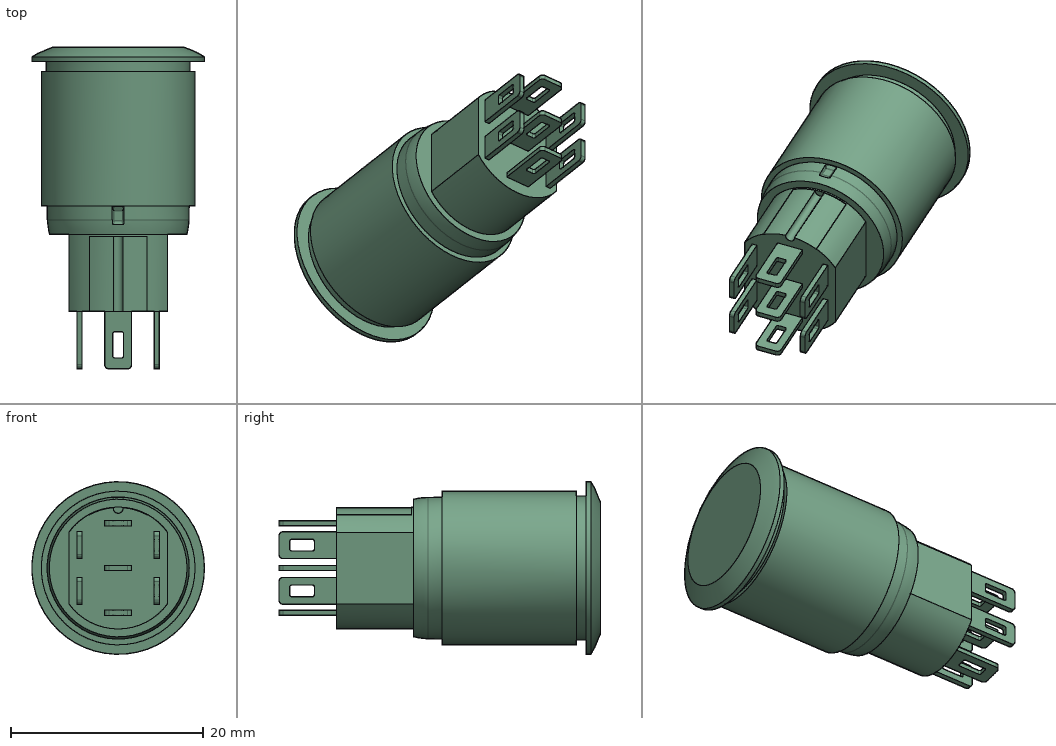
import cadquery as cq

total_length = 33.5

flange_diameter = 18.0
flange_edge = 0.5
cap_height = 1.5
cap_face_diameter = 13.67
cap_slope_bulge = 0.07
neck_diameter = 15.0
neck_length = 1.0
barrel_diameter = 16.0
barrel_end = -15.0
collar_diameter = 14.8
collar_middle_diameter = 14.77
collar_middle = -16.48
collar_end = -18.0
collar_end_diameter = 14.35
collar_bulge = 0.05

body_diameter = 12.7
body_width = 10.3
body_end = -26.0
insert_diameter = 12.6
insert_width = 6.0
insert_gap = 0.2
key_groove_radius = 0.5
key_groove_center = 6.2

pocket_mouth_width = 1.37
pocket_floor_width = 0.95
pocket_mouth_end = -17.25
pocket_floor_start = -15.5
pocket_floor_end = -16.58
pocket_floor_height = 7.2
pocket_mouth_height = 7.45
pocket_corner = 0.17
pocket_floor_round = 0.1

terminal_width = 2.8
terminal_thickness = 0.55
terminal_corner = 0.45
terminal_tip = cap_height - total_length
middle_spacing = 4.65
side_offset_x = 4.02
side_offset_z = 2.38
middle_slot_width = 1.1
middle_slot_length = 2.7
side_slot_width = 1.2
side_slot_length = 2.55
slot_corner = 0.2
slot_tip_margin = 1.15
embed = 0.35


def cylinder_along_y(diameter, start, end):
    """Cylinder on the part axis from y = start back to y = end."""
    return cq.Workplane("XZ", origin=(0, start, 0)).circle(diameter / 2).extrude(start - end)


def make_housing():
    """Cap, flange, neck, barrel and rounded collar turned about Y."""
    slope_middle = (
        (cap_face_diameter + flange_diameter) / 4 + cap_slope_bulge / 2,
        (cap_height + flange_edge) / 2 + cap_slope_bulge,
    )
    rounded_middle = (
        (collar_middle_diameter + collar_end_diameter) / 4 + collar_bulge,
        (collar_middle + collar_end) / 2,
    )
    return (
        cq.Workplane("XY")
        .moveTo(0, cap_height)
        .lineTo(cap_face_diameter / 2, cap_height)
        .threePointArc(slope_middle, (flange_diameter / 2, flange_edge))
        .lineTo(flange_diameter / 2, 0)
        .lineTo(neck_diameter / 2, 0)
        .lineTo(neck_diameter / 2, -neck_length)
        .lineTo(barrel_diameter / 2, -neck_length)
        .lineTo(barrel_diameter / 2, barrel_end)
        .lineTo(collar_diameter / 2, barrel_end)
        .lineTo(collar_middle_diameter / 2, collar_middle)
        .threePointArc(rounded_middle, (collar_end_diameter / 2, collar_end))
        .lineTo(0, collar_end)
        .close()
        .revolve(360, (0, 0, 0), (0, 1, 0))
    )


def make_collar_pocket():
    """Cutter for the pocket with sloped walls behind the barrel."""
    mouth_length = barrel_end - pocket_mouth_end
    floor_length = pocket_floor_start - pocket_floor_end
    mouth_middle = (barrel_end + pocket_mouth_end) / 2
    floor_middle = (pocket_floor_start + pocket_floor_end) / 2
    return (
        cq.Workplane("XY", origin=(0, floor_middle, pocket_floor_height))
        .rect(pocket_floor_width, floor_length)
        .workplane(offset=pocket_mouth_height - pocket_floor_height)
        .center(0, mouth_middle - floor_middle)
        .rect(pocket_mouth_width, mouth_length)
        .loft(ruled=True)
        .faces("<Y")
        .edges("not #Z")
        .fillet(pocket_corner)
        .faces("<Z")
        .edges()
        .fillet(pocket_floor_round)
    )


def make_body():
    """Round switch body with two flats; its keyed insert lies slightly below the round along the top."""
    start = collar_end + embed
    body = cylinder_along_y(body_diameter, start, body_end).intersect(
        cq.Workplane("XZ", origin=(0, start, 0))
        .rect(body_width, body_diameter)
        .extrude(start - body_end)
    )
    insert_start = collar_end - insert_gap
    insert_length = insert_start - body_end
    insert_relief = (
        cq.Workplane("XZ", origin=(0, insert_start, body_diameter / 2))
        .rect(insert_width, body_diameter)
        .extrude(insert_length)
        .cut(cylinder_along_y(insert_diameter, insert_start, body_end))
    )
    key_groove = (
        cq.Workplane("XZ", origin=(0, insert_start, key_groove_center))
        .circle(key_groove_radius)
        .extrude(insert_length)
    )
    return body.cut(insert_relief).cut(key_groove)


def make_terminal(slot_width, slot_length):
    """Flat terminal in the XY plane on the axis, with rounded tip corners and a slot."""
    start = body_end + embed
    slot_middle = terminal_tip + slot_tip_margin + slot_length / 2
    blade = (
        cq.Workplane("XY")
        .center(0, (start + terminal_tip) / 2)
        .box(terminal_width, start - terminal_tip, terminal_thickness)
        .edges("|Z and <Y")
        .fillet(terminal_corner)
    )
    slot = (
        cq.Workplane("XY")
        .center(0, slot_middle)
        .box(slot_width, slot_length, 2 * terminal_thickness)
        .edges("|Z")
        .fillet(slot_corner)
    )
    return blade.cut(slot)


result = make_housing().cut(make_collar_pocket()).union(make_body())

middle_terminal = make_terminal(middle_slot_width, middle_slot_length)
for z in (-middle_spacing, 0, middle_spacing):
    result = result.union(middle_terminal.translate((0, 0, z)))

side_terminal = make_terminal(side_slot_width, side_slot_length).rotate((0, 0, 0), (0, 1, 0), 90)
for x in (-side_offset_x, side_offset_x):
    for z in (-side_offset_z, side_offset_z):
        result = result.union(side_terminal.translate((x, 0, z)))